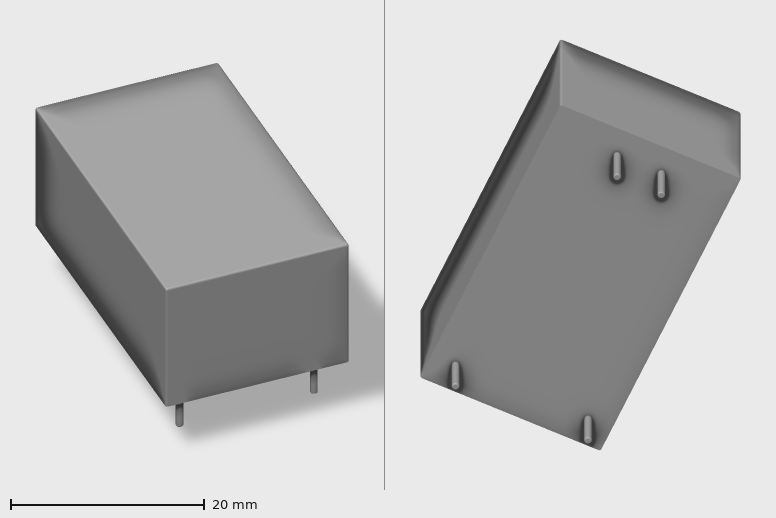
import cadquery as cq

body_length = 34.8
body_width = 20.5
total_height = 20.0
pin_length = 5.0
body_height = total_height - pin_length
edge_radius = 0.25

pin_diameter = 0.8
pin_tip_radius = 0.17
pin_pitch = 5.0
pin_row_spacing = 29.05

body = (
    cq.Workplane("XY")
    .box(body_length, body_width, body_height, centered=(True, True, False))
    .edges("|Z or >Z")
    .fillet(edge_radius)
)

row_x = pin_row_spacing / 2
inner_y = pin_pitch / 2
outer_y = 3 * pin_pitch / 2
pin_places = [
    (-row_x, -inner_y),
    (-row_x, inner_y),
    (row_x, -outer_y),
    (row_x, outer_y),
]


def make_pin(x, y):
    """Round pin hanging below the body, with a rounded tip."""
    return (
        cq.Workplane("XY")
        .center(x, y)
        .circle(pin_diameter / 2)
        .extrude(-pin_length)
        .faces("<Z")
        .edges()
        .fillet(pin_tip_radius)
    )


result = body
for x, y in pin_places:
    result = result.union(make_pin(x, y))